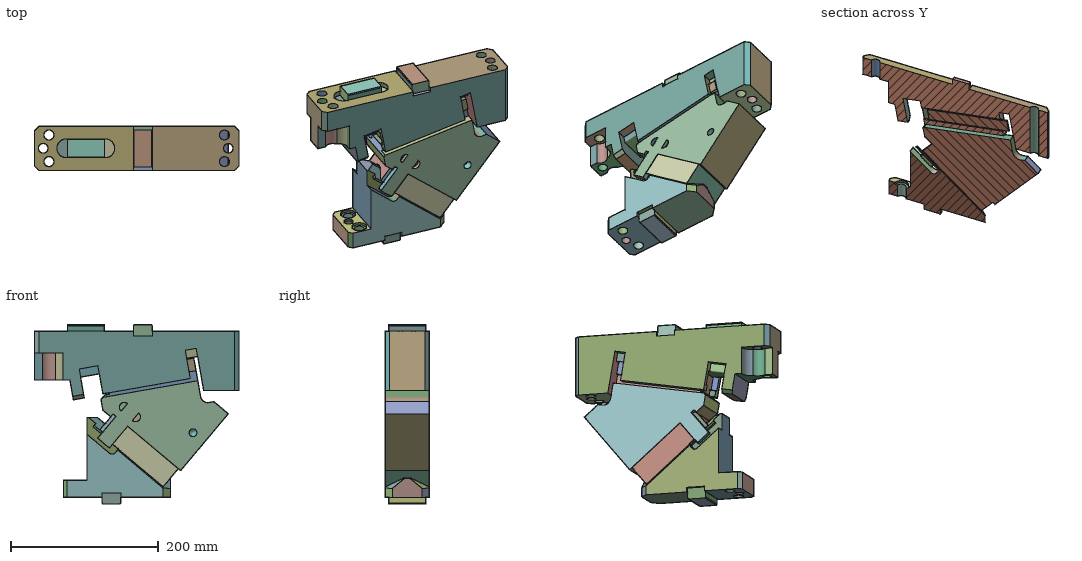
import cadquery as cq
import math

LENGTH = 277.0
WIDTH = 60.0
HOLDER_TOP = 225.2
KEY_RISE = 9.0
HALF_WIDTH = WIDTH / 2

SLIDE_ANGLE = math.radians(10)
SLIDE_ORIGIN = (92.5, 140.2)

GUIDE_ANGLE = math.radians(-40)
GUIDE_ORIGIN = (85.0, 108.5)

HOLDER_CORNER = 6.0
FLANGE_BOTTOM = 195.3
LEFT_BLOCK_BOTTOM = 159.0
RIGHT_LEG_BOTTOM = 144.5
CUTOUT_END = 38.5
CUTOUT_RADIUS = 10.5
WEB_HALF = 12.0
TOOTH_LEFT, TOOTH_RIGHT = -40.7, -25.5
TOOTH_TIP = -1.0
TOOTH_CHAMFER = 5.0
RIGHT_SLOT_LEFT, RIGHT_SLOT_RIGHT = 120.2, 135.2
SLOT_ROOF = 38.8
BRIDGE_BOTTOM = 27.5
BRIDGE_HALF = 18.3
BRIDGE_EDGE_RADIUS = 1.0

BOLT_HOLE_DIAMETER = 13.3
DOWEL_HOLE_DIAMETER = 12.7
BOLT_OFFSET_Y = 18.0
LEFT_BOLT_X, LEFT_DOWEL_X = 19.7, 12.0
RIGHT_BOLT_X, RIGHT_DOWEL_X = 257.0, 262.3

KEY_LENGTH = 50.0
KEY_WIDTH = 25.5
KEY_SEAT_DEPTH = 6.5
KEY_CHAMFER_SIDE, KEY_CHAMFER_HEIGHT = 0.8, 1.7
LONG_KEY_X = 69.5
CROSS_KEY_X = 146.8
DRIVER_KEY_X = 104.2
RECESS_LENGTH = 78.0

NECK_HALF, HEAD_HALF = 18.3, 22.5
RAIL_START, RAIL_END = 8.3, 130.0
LOW_RAIL_TOP = -1.7
HEAD_BOTTOM, HEAD_TOP = 9.1, 26.5
CHANNEL_NECK_HALF, CHANNEL_HEAD_HALF = 18.8, 22.7
CHANNEL_HEAD_BOTTOM = 8.5

WING_TOP = -4.7
SLIDER_LEFT = -4.0
SLIDER_CHAMFER_START = -6.6
SLIDER_CHAMFER_END_U = 2.8
UNDERCUT_W = 12.2
SLIDER_NOSE_V = 13.5
SLIDER_TAIL_V, PAD_TAIL_V = 133.0, 128.8
PAD_TOP_W = 17.2
SHOULDER_N = -36.3
SHOULDER_RADIUS = 9.7
SLIDER_TOP_W = 117.7
PAD_RECESS = 0.5
HOOK_INNER_Y = 22.7
HOOK_START_V, HOOK_END_V = 18.5, 39.3
HOOK_BOTTOM_W = -21.3
HALF_ROUND_RADIUS = 6.6
HALF_ROUND_V1, HALF_ROUND_V2 = 19.5, 39.3
HALF_ROUND_W = 33.8
HALF_ROUND_DEPTH = 5.5
SIDE_HOLE_V, SIDE_HOLE_W = 112.7, 67.3
SIDE_HOLE_DIAMETER = 10.5
SIDE_HOLE_DEPTH = 11.0
DRILL_HALF_ANGLE = math.radians(59)

ROOF_ANGLE = math.radians(32)
RIDGE_HALF = 4.2
GUIDE_GAP = 1.0
FOOT_LEFT = 39.0
WALL_X = 71.0
DRIVER_RIGHT = 184.2
FOOT_TOP = 23.5
FOOT_CHAMFER = 5.0
HEEL_CHAMFER = 10.0
WEB_SIDE_Y = 16.5
LIP_HALF = 22.0
LIP_START_V = 4.0
LIP_BOTTOM_W = -13.5
POCKET_BOTTOM_W = -26.5
POCKET_END_V = 49.5
POCKET_RADIUS = 5.8
FOOT_BOLT_X, FOOT_DOWEL_X = 58.7, 51.0
FOOT_COUNTERBORE_DIAMETER = 20.2
FOOT_COUNTERBORE_DEPTH = 3.3
FOOT_DOWEL_DIAMETER = 11.5
FOOT_DOWEL_ENTRY_DEPTH = 2.8

OVERRUN = 27.7
FAR = 166.2


def in_frame(origin, angle, along, normal):
    """Return the (x, z) place of a point given along and normal to a tilted direction."""
    return (
        origin[0] + along * math.cos(angle) - normal * math.sin(angle),
        origin[1] + along * math.sin(angle) + normal * math.cos(angle),
    )


def slide(u, n):
    return in_frame(SLIDE_ORIGIN, SLIDE_ANGLE, u, n)


def guide(v, w):
    return in_frame(GUIDE_ORIGIN, GUIDE_ANGLE, v, w)


def slide_at_height(u, z):
    """Return the point with the given u that lies at height z."""
    n = (z - SLIDE_ORIGIN[1] - u * math.sin(SLIDE_ANGLE)) / math.cos(SLIDE_ANGLE)
    return slide(u, n)


def crossing(u=None, n=None, w=0.0):
    """Return where a line of constant u, or of constant n, meets a line of constant w."""
    turn = GUIDE_ANGLE - SLIDE_ANGLE
    x0, z0 = guide(0, w)
    dx, dz = x0 - SLIDE_ORIGIN[0], z0 - SLIDE_ORIGIN[1]
    u0 = dx * math.cos(SLIDE_ANGLE) + dz * math.sin(SLIDE_ANGLE)
    n0 = dz * math.cos(SLIDE_ANGLE) - dx * math.sin(SLIDE_ANGLE)
    v = (u - u0) / math.cos(turn) if n is None else (n - n0) / math.sin(turn)
    return guide(v, w)


def rectangle(frame, a0, a1, b0, b1):
    return [frame(a0, b0), frame(a1, b0), frame(a1, b1), frame(a0, b1)]


def prism(points, half_width=HALF_WIDTH):
    """Extrude an (x, z) outline equally to both sides of the middle plane."""
    return cq.Workplane("XZ").polyline(points).close().extrude(half_width, both=True)


def side_prisms(points, inner_y, outer_y=HALF_WIDTH):
    """Extrude an (x, z) outline between inner_y and outer_y on both sides."""
    return prism(points, outer_y).cut(prism(points, inner_y))


def vertical_hole(x, y, diameter, bottom, top):
    return cq.Workplane("XY", origin=(x, y, bottom)).circle(diameter / 2).extrude(top - bottom)


def key(x, seat_z, lengthwise=False, points_down=False):
    """A block with its two long outer edges chamfered, seated at height seat_z."""
    height = KEY_SEAT_DEPTH + KEY_RISE
    seat_half = KEY_WIDTH / 2
    top_half = seat_half - KEY_CHAMFER_SIDE
    outline = [
        (-seat_half, 0),
        (seat_half, 0),
        (seat_half, height - KEY_CHAMFER_HEIGHT),
        (top_half, height),
        (-top_half, height),
        (-seat_half, height - KEY_CHAMFER_HEIGHT),
    ]
    block = cq.Workplane("XZ").polyline(outline).close().extrude(KEY_LENGTH / 2, both=True)
    if lengthwise:
        block = block.rotate((0, 0, 0), (0, 0, 1), 90)
    if points_down:
        block = block.rotate((0, 0, 0), (0, 1, 0), 180)
    return block.translate((x, 0, seat_z))


def key_slot(x, z0, z1):
    return cq.Workplane("XY", origin=(x, 0, z0)).rect(KEY_WIDTH, WIDTH).extrude(z1 - z0)


def guide_roof(offset):
    """The solid under the V-shaped roof along the guide direction, raised by an offset."""
    reach = HALF_WIDTH + OVERRUN
    eave = -(reach - RIDGE_HALF) * math.tan(ROOF_ANGLE)
    outline = [
        (-reach, -FAR),
        (reach, -FAR),
        (reach, eave + offset),
        (RIDGE_HALF, offset),
        (-RIDGE_HALF, offset),
        (-reach, eave + offset),
    ]
    start_x, start_z = guide(-FAR, 0)
    down_ridge = (math.cos(GUIDE_ANGLE), 0, math.sin(GUIDE_ANGLE))
    plane = cq.Plane(origin=(start_x, 0, start_z), xDir=(0, 1, 0), normal=down_ridge)
    return cq.Workplane(plane).polyline(outline).close().extrude(3 * FAR)


def holder_outline():
    return [
        (0, LEFT_BLOCK_BOTTOM),
        slide_at_height(TOOTH_LEFT, LEFT_BLOCK_BOTTOM),
        slide(TOOTH_LEFT, TOOTH_TIP),
        slide(TOOTH_RIGHT, TOOTH_TIP),
        slide(TOOTH_RIGHT, SLOT_ROOF),
        slide(0, SLOT_ROOF),
        slide(0, 0),
        slide(RIGHT_SLOT_LEFT, 0),
        slide(RIGHT_SLOT_LEFT, SLOT_ROOF),
        slide(RIGHT_SLOT_RIGHT, SLOT_ROOF),
        slide_at_height(RIGHT_SLOT_RIGHT, RIGHT_LEG_BOTTOM),
        (LENGTH, RIGHT_LEG_BOTTOM),
        (LENGTH, HOLDER_TOP),
        (0, HOLDER_TOP),
    ]


def slot_bridge(u0, u1):
    """The thicker middle part of a slot's roof, with rounded lower edges."""
    center_x, center_z = slide((u0 + u1) / 2, (BRIDGE_BOTTOM + SLOT_ROOF) / 2)
    bridge = cq.Workplane("XY").box(u1 - u0, 2 * BRIDGE_HALF, SLOT_ROOF - BRIDGE_BOTTOM)
    bridge = bridge.faces("<Z").edges("|X").fillet(BRIDGE_EDGE_RADIUS)
    bridge = bridge.rotate((0, 0, 0), (0, 1, 0), -math.degrees(SLIDE_ANGLE))
    return bridge.translate((center_x, 0, center_z))


def tooth_corner(side):
    """The wedge that chamfers one lower side edge of the holder's tooth."""
    x, z = slide(TOOTH_LEFT - OVERRUN / 2, TOOTH_TIP)
    along = (math.cos(SLIDE_ANGLE), 0, math.sin(SLIDE_ANGLE))
    plane = cq.Plane(origin=(x, side * HALF_WIDTH, z), xDir=(0, 1, 0), normal=along)
    outline = [(0, 0), (-side * TOOTH_CHAMFER, 0), (0, TOOTH_CHAMFER)]
    length = TOOTH_RIGHT - TOOTH_LEFT + OVERRUN / 2
    return cq.Workplane(plane).polyline(outline).close().extrude(length)


def bolt_cutout(side):
    """Clearance below the left flange beside the web, bulging around the bolt."""
    height = FLANGE_BOTTOM - LEFT_BLOCK_BOTTOM
    depth = HALF_WIDTH - WEB_HALF
    corner = (
        cq.Workplane("XY", origin=(0, side * (WEB_HALF + depth / 2), LEFT_BLOCK_BOTTOM))
        .rect(2 * CUTOUT_END, depth)
        .extrude(height)
        .edges("|Z and >X and " + ("<Y" if side > 0 else ">Y"))
        .fillet(CUTOUT_RADIUS)
    )
    around_bolt = vertical_hole(
        LEFT_BOLT_X, side * BOLT_OFFSET_Y, 2 * CUTOUT_RADIUS, LEFT_BLOCK_BOTTOM, FLANGE_BOTTOM
    )
    return corner.union(around_bolt)


def make_holder():
    body = prism(holder_outline()).edges("|Z").edges("<X or >X").chamfer(HOLDER_CORNER)
    body = body.union(slot_bridge(TOOTH_RIGHT, 0))
    body = body.union(slot_bridge(RIGHT_SLOT_LEFT, RIGHT_SLOT_RIGHT))
    for side in (-1, 1):
        body = body.cut(bolt_cutout(side)).cut(tooth_corner(side))

    neck = rectangle(slide, 0, RIGHT_SLOT_LEFT, 0, CHANNEL_HEAD_BOTTOM)
    head = rectangle(slide, 0, RIGHT_SLOT_LEFT, CHANNEL_HEAD_BOTTOM, BRIDGE_BOTTOM)
    body = body.cut(prism(neck, CHANNEL_NECK_HALF)).cut(prism(head, CHANNEL_HEAD_HALF))

    for bolt_x, dowel_x in ((LEFT_BOLT_X, LEFT_DOWEL_X), (RIGHT_BOLT_X, RIGHT_DOWEL_X)):
        body = body.cut(vertical_hole(dowel_x, 0, DOWEL_HOLE_DIAMETER, 0, HOLDER_TOP))
        for y in (-BOLT_OFFSET_Y, BOLT_OFFSET_Y):
            body = body.cut(vertical_hole(bolt_x, y, BOLT_HOLE_DIAMETER, 0, HOLDER_TOP))

    seat_z = HOLDER_TOP - KEY_SEAT_DEPTH
    recess = cq.Workplane("XY", origin=(LONG_KEY_X, 0, seat_z))
    body = body.cut(recess.slot2D(RECESS_LENGTH, KEY_WIDTH).extrude(KEY_SEAT_DEPTH))
    body = body.cut(key_slot(CROSS_KEY_X, seat_z, HOLDER_TOP))
    body = body.union(key(LONG_KEY_X, seat_z, lengthwise=True))
    return body.union(key(CROSS_KEY_X, seat_z))


def slider_outline():
    """Side outline of the slider, with the T-rail at its full width."""
    arc_center = (RAIL_END + SHOULDER_RADIUS, SHOULDER_N + SHOULDER_RADIUS)
    diagonal = SHOULDER_RADIUS * math.sqrt(0.5)
    return (
        cq.Workplane("XZ")
        .moveTo(*slide(SLIDER_LEFT, SLIDER_CHAMFER_START))
        .lineTo(*crossing(u=SLIDER_LEFT, w=UNDERCUT_W))
        .lineTo(*guide(SLIDER_NOSE_V, UNDERCUT_W))
        .lineTo(*guide(SLIDER_NOSE_V, -OVERRUN))
        .lineTo(*guide(PAD_TAIL_V, -OVERRUN))
        .lineTo(*guide(PAD_TAIL_V, PAD_TOP_W))
        .lineTo(*guide(SLIDER_TAIL_V, PAD_TOP_W))
        .lineTo(*guide(SLIDER_TAIL_V, SLIDER_TOP_W))
        .lineTo(*crossing(n=SHOULDER_N, w=SLIDER_TOP_W))
        .lineTo(*slide(arc_center[0], SHOULDER_N))
        .threePointArc(
            slide(arc_center[0] - diagonal, arc_center[1] - diagonal),
            slide(RAIL_END, arc_center[1]),
        )
        .lineTo(*slide(RAIL_END, HEAD_TOP))
        .lineTo(*slide(RAIL_START, HEAD_TOP))
        .lineTo(*slide(RAIL_START, LOW_RAIL_TOP))
        .lineTo(*slide(SLIDER_CHAMFER_END_U, LOW_RAIL_TOP))
        .close()
    )


def half_round(v, direction):
    """A shallow half-round recess in the -Y side, on one side of its chord."""
    x, z = guide(v, HALF_ROUND_W)
    disc = cq.Workplane("XZ", origin=(x, -HALF_WIDTH + HALF_ROUND_DEPTH, z))
    disc = disc.circle(HALF_ROUND_RADIUS).extrude(HALF_ROUND_DEPTH)
    v_end = v + direction * HALF_ROUND_RADIUS
    low, high = HALF_ROUND_W - HALF_ROUND_RADIUS, HALF_ROUND_W + HALF_ROUND_RADIUS
    return disc.intersect(prism(rectangle(guide, v, v_end, low, high)))


def side_hole():
    """A blind drilled hole with a conical end in the -Y side."""
    x, z = guide(SIDE_HOLE_V, SIDE_HOLE_W)
    radius = SIDE_HOLE_DIAMETER / 2
    tip = SIDE_HOLE_DEPTH + radius / math.tan(DRILL_HALF_ANGLE)
    outline = [(0, 0), (radius, 0), (radius, SIDE_HOLE_DEPTH), (0, tip)]
    drill = cq.Workplane("XY").polyline(outline).close().revolve(360, (0, 0, 0), (0, 1, 0))
    return drill.translate((x, -HALF_WIDTH, z))


def make_slider():
    body = slider_outline().extrude(HALF_WIDTH, both=True)

    wings = rectangle(slide, SLIDER_LEFT - OVERRUN, RAIL_END + OVERRUN, WING_TOP, HEAD_BOTTOM)
    head_sides = rectangle(slide, SLIDER_LEFT, RAIL_END + OVERRUN, HEAD_BOTTOM, FAR)
    body = body.cut(side_prisms(wings, NECK_HALF)).cut(side_prisms(head_sides, HEAD_HALF))

    nose = rectangle(guide, SLIDER_NOSE_V, HOOK_START_V, -OVERRUN, PAD_TOP_W)
    hooks = rectangle(guide, HOOK_START_V, HOOK_END_V, HOOK_BOTTOM_W, PAD_TOP_W)
    body = body.cut(guide_roof(GUIDE_GAP)).cut(side_prisms(nose, HOOK_INNER_Y))
    body = body.union(side_prisms(hooks, HOOK_INNER_Y))

    pads = rectangle(guide, HOOK_END_V, PAD_TAIL_V, -OVERRUN, PAD_TOP_W)
    body = body.cut(side_prisms(pads, HALF_WIDTH - PAD_RECESS))

    body = body.cut(half_round(HALF_ROUND_V1, -1)).cut(half_round(HALF_ROUND_V2, 1))
    return body.cut(side_hole())


def driver_outline():
    wall_top = GUIDE_ORIGIN[1]
    ridge_end = wall_top + (DRIVER_RIGHT - GUIDE_ORIGIN[0]) * math.tan(GUIDE_ANGLE)
    return [
        (FOOT_LEFT, 0),
        (DRIVER_RIGHT, 0),
        (DRIVER_RIGHT, ridge_end),
        GUIDE_ORIGIN,
        (WALL_X, wall_top),
        (WALL_X, FOOT_TOP),
        (FOOT_LEFT, FOOT_TOP),
    ]


def hook_pockets():
    """Clearance for the hooks on both sides of the web, with a rounded lower corner."""
    outline = rectangle(guide, -FAR, POCKET_END_V, POCKET_BOTTOM_W, FAR)
    cutter = prism(outline)
    corner_x, corner_z = guide(POCKET_END_V, POCKET_BOTTOM_W)
    corner = cq.selectors.NearestToPointSelector((corner_x, 0, corner_z))
    cutter = cutter.edges("|Y").edges(corner).fillet(POCKET_RADIUS)
    web = cq.Workplane("XY").box(4 * FAR, 2 * WEB_SIDE_Y, 4 * FAR)
    return cutter.cut(web)


def make_driver():
    body = prism(driver_outline())
    body = body.edges("|Z and <X").chamfer(FOOT_CHAMFER)
    body = body.edges("|Z and >X").chamfer(HEEL_CHAMFER)

    body = body.cut(hook_pockets())
    lips = rectangle(guide, LIP_START_V, POCKET_END_V, LIP_BOTTOM_W, 0)
    body = body.union(prism(lips, LIP_HALF)).intersect(guide_roof(0))

    entry_z = FOOT_TOP - FOOT_DOWEL_ENTRY_DEPTH
    body = body.cut(vertical_hole(FOOT_DOWEL_X, 0, FOOT_DOWEL_DIAMETER, 0, FOOT_TOP))
    body = body.cut(vertical_hole(FOOT_DOWEL_X, 0, DOWEL_HOLE_DIAMETER, entry_z, FOOT_TOP))
    counterbore_z = FOOT_TOP - FOOT_COUNTERBORE_DEPTH
    for y in (-BOLT_OFFSET_Y, BOLT_OFFSET_Y):
        body = body.cut(vertical_hole(FOOT_BOLT_X, y, BOLT_HOLE_DIAMETER, 0, FOOT_TOP))
        body = body.cut(
            vertical_hole(FOOT_BOLT_X, y, FOOT_COUNTERBORE_DIAMETER, counterbore_z, FOOT_TOP)
        )

    body = body.cut(key_slot(DRIVER_KEY_X, 0, KEY_SEAT_DEPTH))
    return body.union(key(DRIVER_KEY_X, KEY_SEAT_DEPTH, points_down=True))


holder = make_holder()
slider = make_slider()
driver = make_driver()

result = cq.Compound.makeCompound([holder.val(), slider.val(), driver.val()])